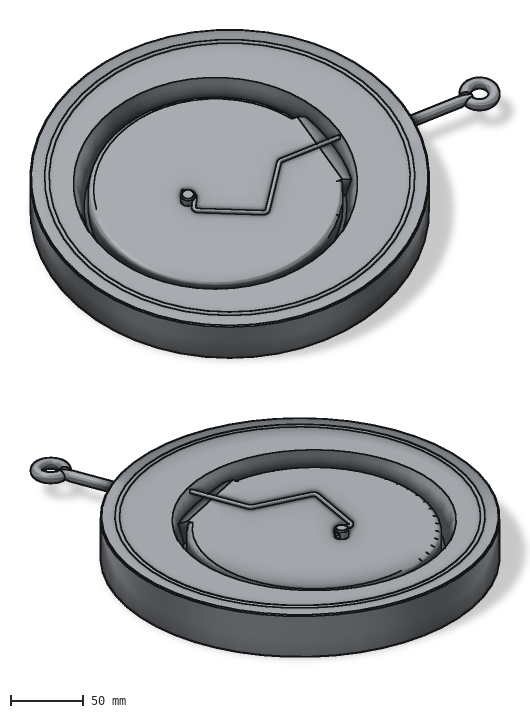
import cadquery as cq
import math

body_diameter = 275.0
body_height = 33.5
body_chamfer = 0.87
overall_height = 35.7
face_z = body_height / 2

seal_radius = 126.0
seal_wire_radius = 1.7
seal_centre_z = overall_height / 2 - seal_wire_radius

bore_offset_y = -11.0
pocket_top_radius = 98.0
pocket_floor_radius = 90.5
pocket_depth = 24.3
floor_z = face_z - pocket_depth

disc_radius = 87.8
disc_fillet = 3.8
disc_top_z = face_z - 6.5

overlap = 1.7

hinge_width = 65.5
hinge_edge_y = 70.5
hinge_slope = 30
hinge_front_y = 52

wire_diameter = 3.0
wire_z = face_z - 3.5
post_diameter = 10.0
post_chamfer = 1.0
post_y = -32.5
wire_bend_radius = 3.3
wire_path = [
    (0, 88.5),
    (0, 39.0),
    (38, 8.7),
    (12.0, -35.0),
    (0.7, post_y + 5.2),
    (-7, post_y - 1.0),
]

overall_length = 347
rod_diameter = 8.0
eye_radius = 10.0
eye_outer_radius = eye_radius + rod_diameter / 2
eye_y = overall_length - body_diameter / 2 - eye_outer_radius
rod_embed = 10.5
eye_gap_angle = 36
neck_y = eye_y - eye_outer_radius - 1.7
neck_tip_y = eye_y - 6.0
neck_tip_diameter = 5.0


def torus(ring_radius, tube_radius, x, y, z):
    solid = cq.Solid.makeTorus(ring_radius, tube_radius, cq.Vector(x, y, z))
    return cq.Workplane(obj=solid)


def cylinder_up(radius, y, bottom_z, top_z):
    """Vertical cylinder centred on the YZ centre plane."""
    return cq.Workplane("XY", origin=(0, y, bottom_z)).circle(radius).extrude(top_z - bottom_z)


def make_pocket():
    """Space of the pocket, narrowing towards its floor."""
    solid = cq.Solid.makeCone(
        pocket_floor_radius, pocket_top_radius, pocket_depth, cq.Vector(0, bore_offset_y, floor_z)
    )
    return cq.Workplane(obj=solid)


def make_body():
    body = cylinder_up(body_diameter / 2, 0, -face_z, face_z).edges().chamfer(body_chamfer)
    for side in (-1, 1):
        body = body.union(torus(seal_radius, seal_wire_radius, 0, 0, side * seal_centre_z))
    return body.cut(make_pocket())


def make_hinge_plate():
    """Plate behind the disc, sloping down until it meets the pocket wall."""
    back_y = bore_offset_y + pocket_top_radius
    drop = (back_y - hinge_edge_y) * math.tan(math.radians(hinge_slope))
    profile = [
        (hinge_front_y, floor_z),
        (hinge_front_y, disc_top_z),
        (hinge_edge_y, disc_top_z),
        (back_y, disc_top_z - drop),
        (back_y, floor_z),
    ]
    plate = cq.Workplane("YZ").polyline(profile).close().extrude(hinge_width / 2, both=True)
    return plate.intersect(make_pocket())


def make_disc():
    """Flap disc with a straight back edge where the hinge plate joins it."""
    disc = cylinder_up(disc_radius, bore_offset_y, floor_z - overlap, disc_top_z)
    relief_y = hinge_edge_y + disc_radius / 2
    relief = cq.Workplane("XY", origin=(0, relief_y, floor_z + pocket_depth / 2))
    disc = disc.cut(relief.box(hinge_width, disc_radius, pocket_depth)).union(make_hinge_plate())
    return disc.faces(">Z").edges("%CIRCLE").fillet(disc_fillet)


def make_spring():
    """Bent wire from the pocket wall to the post, passing behind it."""
    wire_start = cq.Workplane("XZ", origin=(*wire_path[0], wire_z))
    sharp_path = cq.Wire.makePolygon([cq.Vector(x, y, wire_z) for x, y in wire_path])
    wire = wire_start.circle(wire_diameter / 2).sweep(sharp_path.fillet(wire_bend_radius))
    post = cylinder_up(post_diameter / 2, post_y, disc_top_z - overlap, face_z)
    return wire.union(post.faces(">Z").chamfer(post_chamfer))


def make_eye_bolt():
    """Rod whose tapered neck fills the gap in the eye."""
    start_y = body_diameter / 2 - rod_embed
    bolt_profile = [
        (0, start_y),
        (rod_diameter / 2, start_y),
        (rod_diameter / 2, neck_y),
        (neck_tip_diameter / 2, neck_tip_y),
        (0, neck_tip_y),
    ]
    bolt = cq.Workplane("XY").polyline(bolt_profile).close().revolve(360, (0, 0), (0, 1))
    tube = cq.Workplane("YZ", origin=(0, eye_y, 0)).center(-eye_radius, 0).circle(rod_diameter / 2)
    eye = tube.revolve(360 - eye_gap_angle, (eye_radius, 0), (eye_radius, 1))
    eye = eye.rotate((0, eye_y, 0), (0, eye_y, 1), eye_gap_angle / 2)
    return bolt.union(eye)


result = make_body().union(make_disc()).union(make_spring()).union(make_eye_bolt())